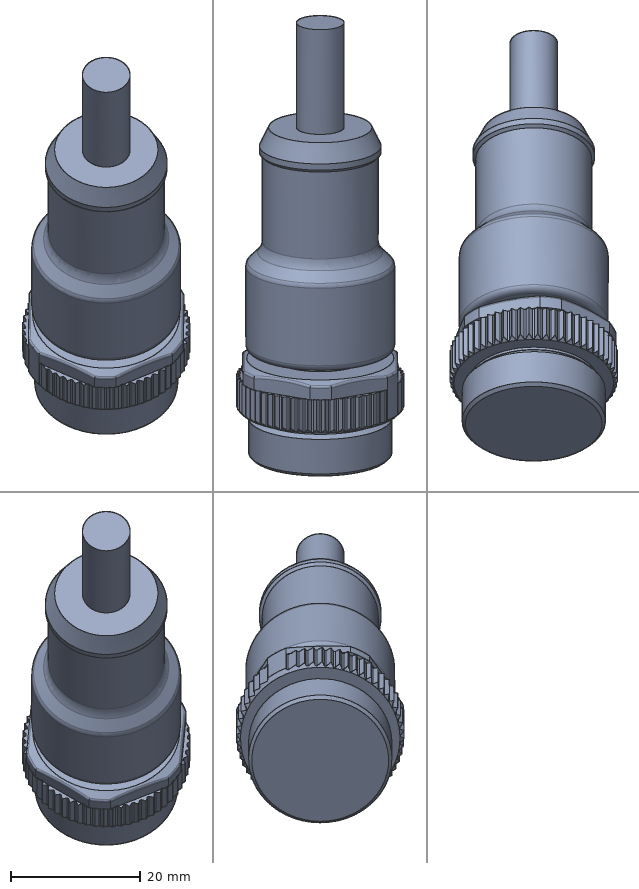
import cadquery as cq
import math

base_radius = 11.1
base_top = 6.1
base_edge = 0.5
groove_radius = 10.05
groove_bottom = 6.6
groove_top = 7.1
nut_collar_radius = 10.15
neck_radius = 7.1
sleeve_radius = 11.55
sleeve_bottom = 17.2
sleeve_edge_radius = 1.0
sleeve_shoulder = 31.2
tube_radius = 9.0
shoulder_fillet = 2.4
collar_radius = 9.45
collar_bottom = 48.85
collar_edge = 0.45
collar_cone_bottom = 50.3
collar_top = 53.3
collar_top_radius = 8.0
cable_radius = 3.7
total_height = 70.3

nut_radius = 13.0
nut_bottom = 7.55
knurl_top = 13.1
nut_top = 15.85
across_flats = 24.0
nut_bottom_edge = 0.65
nut_top_flat_radius = 11.4
nut_cone_angle = 20.0
nut_top_fillet = 0.4
half_flat_angle = math.degrees(math.acos(across_flats / 2 / nut_radius))
corner_half_angle = 30 - half_flat_angle
rim_depth = 1.2
rim_gap = 0.05
cutter_radius = nut_radius + 2

plain_corner_angle = 254.0
tooth_count = 60
tooth_pitch = 360 / tooth_count
first_crest = 2.5 * tooth_pitch
crest_count = tooth_count - 4
stepped_sector = 45.0
v_apex_radius = nut_radius * (1 - math.pi / tooth_count)
root_setback = 0.2
overrun_radius = nut_radius + 0.02


def polar(radius, angle):
    """Point at an angle in degrees, measured from the plain corner."""
    return (radius * math.cos(math.radians(angle)), radius * math.sin(math.radians(angle)))


def make_body():
    """Revolve the cable, collar, tube, sleeve, neck and base as one profile."""
    cone_height = sleeve_radius - tube_radius
    profile = (
        cq.Workplane("XZ")
        .moveTo(0, 0)
        .lineTo(base_radius - base_edge, 0)
        .lineTo(base_radius, base_edge)
        .lineTo(base_radius, base_top)
        .lineTo(groove_radius, groove_bottom)
        .lineTo(groove_radius, groove_top)
        .lineTo(nut_collar_radius, groove_top)
        .lineTo(nut_collar_radius, nut_bottom)
        .lineTo(neck_radius, nut_bottom)
        .lineTo(neck_radius, sleeve_bottom)
        .lineTo(sleeve_radius, sleeve_bottom)
        .lineTo(sleeve_radius, sleeve_shoulder)
        .lineTo(tube_radius, sleeve_shoulder + cone_height)
        .lineTo(tube_radius, collar_bottom)
        .lineTo(collar_radius, collar_bottom + collar_edge)
        .lineTo(collar_radius, collar_cone_bottom)
        .lineTo(collar_top_radius, collar_top)
        .lineTo(cable_radius, collar_top)
        .lineTo(cable_radius, total_height)
        .lineTo(0, total_height)
        .close()
    )
    body = profile.revolve(360, (0, 0, 0), (0, 1, 0))
    body = fillet_circle(body, sleeve_radius, sleeve_bottom, sleeve_edge_radius)
    body = fillet_circle(body, sleeve_radius, sleeve_shoulder, sleeve_edge_radius)
    return fillet_circle(body, tube_radius, sleeve_shoulder + cone_height, shoulder_fillet)


def fillet_circle(solid, radius, height, fillet_radius):
    """Round the circular edge with the given radius at the given height."""
    tolerance = 0.01

    def matches(edge):
        return abs(edge.radius() - radius) < tolerance and abs(edge.Center().z - height) < tolerance

    return solid.edges("%CIRCLE").filter(matches).fillet(fillet_radius)


def make_nut_blank():
    """Turned nut with a bevelled lower edge and a shallow cone on top."""
    cone_drop = (nut_radius - nut_top_flat_radius) * math.tan(math.radians(nut_cone_angle))
    return (
        cq.Workplane("XZ")
        .moveTo(0, nut_bottom)
        .lineTo(nut_radius - nut_bottom_edge, nut_bottom)
        .lineTo(nut_radius, nut_bottom + nut_bottom_edge)
        .lineTo(nut_radius, nut_top - cone_drop)
        .lineTo(nut_top_flat_radius, nut_top)
        .lineTo(0, nut_top)
        .close()
        .revolve(360, (0, 0, 0), (0, 1, 0))
    )


def outside_of(inner, bottom, top):
    """Ring-shaped cutter that surrounds a closed outline between two heights."""
    height = top - bottom
    disc = cq.Workplane("XY").workplane(offset=bottom).circle(cutter_radius).extrude(height)
    return disc.cut(inner.extrude(height))


def cut_hexagon(blank):
    """Cut the six flats above the knurl and round their upper rim."""
    corner_diameter = across_flats / math.cos(math.radians(30))
    hexagon = cq.Workplane("XY").workplane(offset=knurl_top).polygon(6, corner_diameter)
    nut = blank.cut(outside_of(hexagon, knurl_top, nut_top))
    rim = cq.selectors.BoxSelector(
        (-cutter_radius, -cutter_radius, nut_top - rim_depth),
        (cutter_radius, cutter_radius, nut_top - rim_gap),
    )
    return nut.edges(rim).fillet(nut_top_fillet)


def step_along(origin, target, distance):
    """Point at a distance from the origin towards the target."""
    length = math.dist(origin, target)
    return tuple(o + (t - o) * distance / length for o, t in zip(origin, target))


def notch_root(start, end):
    """Two points of the narrow root flat of the notch between two tooth crests."""
    start_crest = polar(overrun_radius, start)
    end_crest = polar(overrun_radius, end)
    if end <= stepped_sector:
        apex = (end_crest[0], start_crest[1])
    elif start >= 360 - stepped_sector:
        apex = (start_crest[0], end_crest[1])
    else:
        apex = polar(v_apex_radius, (start + end) / 2)
    return [step_along(apex, start_crest, root_setback), step_along(apex, end_crest, root_setback)]


def knurl_outline():
    """Points of the toothed rim from one edge of the plain corner round to the other."""
    crests = [corner_half_angle]
    crests += [first_crest + index * tooth_pitch for index in range(crest_count)]
    crests.append(360 - corner_half_angle)
    points = [polar(overrun_radius, crests[0])]
    for start, end in zip(crests, crests[1:]):
        points += notch_root(start, end)
        points.append(polar(overrun_radius, end))
    return points


def cut_knurl(nut):
    """Cut the notches between the teeth, leaving the plain corner column."""
    points = knurl_outline()
    outline = (
        cq.Workplane("XY")
        .workplane(offset=nut_bottom)
        .polyline(points)
        .threePointArc((overrun_radius, 0), points[0])
        .close()
    )
    return nut.cut(outside_of(outline, nut_bottom, knurl_top))


nut = cut_knurl(cut_hexagon(make_nut_blank()))
nut = nut.rotate((0, 0, 0), (0, 0, 1), plain_corner_angle)
result = make_body().union(nut)